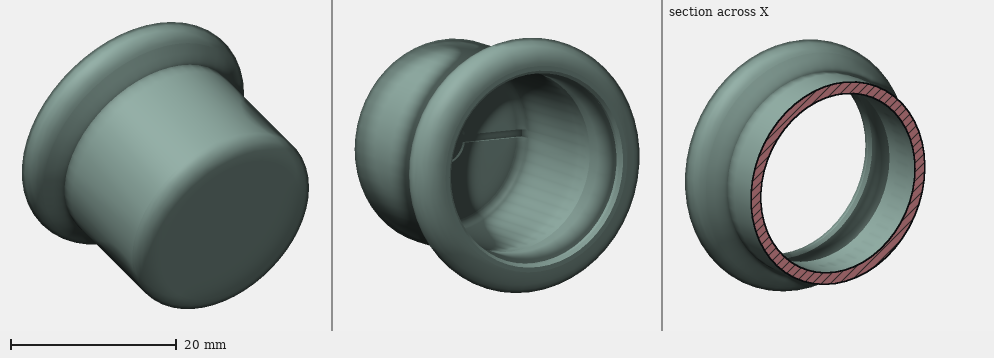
import cadquery as cq
import math

length = 24.0
rim_radius = 15.55
tube_radius = 12.6
bead_radius = rim_radius - tube_radius
neck_x = 6.9
wall = 1.5
bore_radius = tube_radius - wall
end_round = 2.5
floor_round = end_round - wall
floor_x = length - wall

bead_wall = 1.3
bead_inner_radius = bead_radius - bead_wall
lip_diameter = 23.3
lip_radius = lip_diameter / 2
lip_chamfer = 0.37
lip_edge_radius = lip_radius + lip_chamfer

recess_radius = 2.92
recess_slot_width = 0.95
recess_depth = 0.5


cone_normal_x = bead_radius / (neck_x - bead_radius)
cone_normal_r = math.sqrt(1 - cone_normal_x**2)
inner_neck_x = bead_radius + (bead_inner_radius + wall * cone_normal_r) / cone_normal_x


def bead_tangent_point(radius):
    """Point where a cone parallel to the neck touches a bead arc of this radius."""
    return (bead_radius + radius * cone_normal_x, tube_radius + radius * cone_normal_r)


def round_middle(end_x, side_radius, round_radius):
    """Middle point of a quarter round between a cylinder and an end face."""
    inset = round_radius * (1 - math.sqrt(0.5))
    return (end_x - inset, side_radius - inset)


def revolve_profile(profile):
    """Close a half profile and turn it about the X axis."""
    return profile.close().revolve(360, (0, 0, 0), (1, 0, 0))


def outer_body():
    """Solid plug: half-round bead, tangent cone, tube and rounded end."""
    return revolve_profile(
        cq.Workplane("XY")
        .lineTo(0, tube_radius)
        .threePointArc((bead_radius, rim_radius), bead_tangent_point(bead_radius))
        .lineTo(neck_x, tube_radius)
        .lineTo(length - end_round, tube_radius)
        .threePointArc(round_middle(length, tube_radius, end_round), (length, tube_radius - end_round))
        .lineTo(length, 0)
    )


def cavity():
    """Inside space: chamfered lip, hollow bead, cone, bore and rounded floor edge."""
    return revolve_profile(
        cq.Workplane("XY")
        .lineTo(0, lip_edge_radius)
        .lineTo(lip_chamfer, lip_radius)
        .lineTo(bead_wall - lip_chamfer, lip_radius)
        .lineTo(bead_wall, lip_edge_radius)
        .lineTo(bead_wall, tube_radius)
        .threePointArc(
            (bead_radius, tube_radius + bead_inner_radius),
            bead_tangent_point(bead_inner_radius),
        )
        .lineTo(inner_neck_x, bore_radius)
        .lineTo(floor_x - floor_round, bore_radius)
        .threePointArc(round_middle(floor_x, bore_radius, floor_round), (floor_x, bore_radius - floor_round))
        .lineTo(floor_x, 0)
    )


def floor_recess():
    """Round recess with a slot running to the bore wall on the -Y side."""
    disc = cq.Workplane("YZ", origin=(floor_x, 0, 0)).circle(recess_radius).extrude(recess_depth)
    slot_start_x = floor_x - floor_round
    slot = (
        cq.Workplane("YZ", origin=(slot_start_x, 0, 0))
        .center(-bore_radius / 2, 0)
        .rect(bore_radius, recess_slot_width)
        .extrude(floor_round + recess_depth)
    )
    return disc.union(slot)


result = outer_body().cut(cavity()).cut(floor_recess())